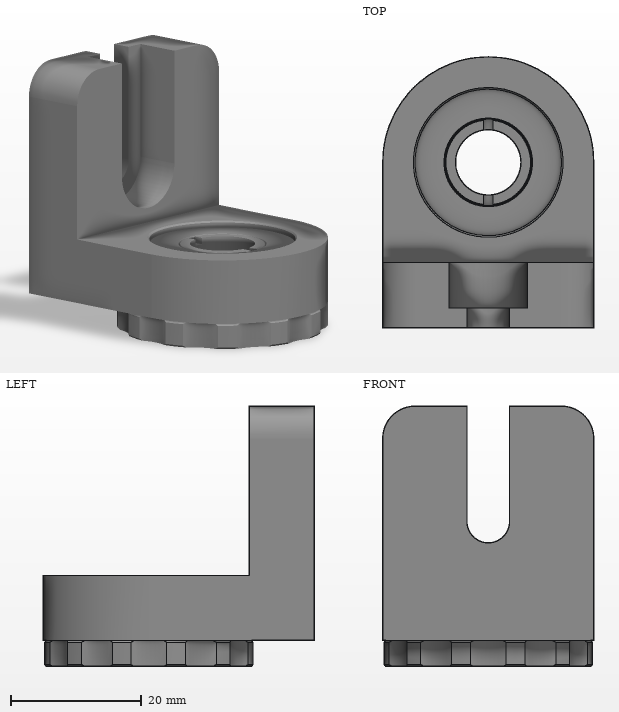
import cadquery as cq

bracket_width = 32.45
base_thickness = 10.0
wall_thickness = 10.0
wall_outer_face = -25.4
wall_height = 36.0
wall_corner_radius = 5.0

slot_width = 6.5
slot_bottom = 15.0
recess_width = 12.0
recess_depth = 7.0

bore_radius = 11.25
bush_recess = 1.0
hub_radius = 6.65
hole_radius = 5.0
bore_chamfer = 0.25
ring_chamfer = 0.15

nut_thickness = 3.0
nut_slot_width = 1.5
nut_slot_depth = 1.0

knob_thickness = 4.0
knob_chamfer = 0.3
scallop_count = 12
scallop_radius = 6.0
scallop_center_radius = 21.33

half_width = bracket_width / 2
wall_inner_face = wall_outer_face + wall_thickness
slot_center_height = slot_bottom + slot_width / 2
bush_top = base_thickness - bush_recess
hub_top = bush_top - nut_thickness


def wall_slot(width, start_y, depth):
    """Round-bottomed slot, open at the top of the wall, running from start_y toward +Y."""
    half_slot = width / 2
    return (
        cq.Workplane("XZ", origin=(0, start_y, 0))
        .moveTo(-half_slot, wall_height)
        .lineTo(-half_slot, slot_center_height)
        .threePointArc((0, slot_center_height - half_slot), (half_slot, slot_center_height))
        .lineTo(half_slot, wall_height)
        .close()
        .extrude(-depth)
    )


def make_bracket():
    """L-shaped bracket: a round-ended base with a bore, and a wall with a stepped slot."""
    base = (
        cq.Workplane("XY")
        .moveTo(-half_width, wall_outer_face)
        .lineTo(half_width, wall_outer_face)
        .lineTo(half_width, 0)
        .threePointArc((0, half_width), (-half_width, 0))
        .close()
        .extrude(base_thickness)
    )
    wall = (
        cq.Workplane("XY", origin=(0, wall_outer_face, 0))
        .box(bracket_width, wall_thickness, wall_height, centered=(True, False, False))
        .edges("|Y and >Z")
        .fillet(wall_corner_radius)
    )
    bore = cq.Workplane("XY").circle(bore_radius).extrude(base_thickness)
    base = base.cut(bore).faces(">Z").edges("%CIRCLE").edges("<Y").chamfer(bore_chamfer)
    through_slot = wall_slot(slot_width, wall_outer_face, wall_thickness)
    nut_recess = wall_slot(recess_width, wall_inner_face - recess_depth, recess_depth)
    return base.union(wall).cut(through_slot).cut(nut_recess)


def make_bush():
    """Ring filling the bracket bore around the hub, set below the top of the base."""
    return (
        cq.Workplane("XY")
        .circle(bore_radius)
        .circle(hub_radius)
        .extrude(bush_top)
        .faces(">Z")
        .edges(cq.selectors.RadiusNthSelector(0))
        .chamfer(ring_chamfer)
    )


def make_ring_nut():
    """Ring on top of the hub with two opposite driver slots in its upper face."""
    ring = (
        cq.Workplane("XY", origin=(0, 0, hub_top))
        .circle(hub_radius)
        .circle(hole_radius)
        .extrude(nut_thickness)
        .faces(">Z")
        .edges(cq.selectors.RadiusNthSelector(-1))
        .chamfer(ring_chamfer)
    )
    driver_slot = cq.Workplane("XY", origin=(0, 0, bush_top - nut_slot_depth)).box(
        nut_slot_width, 2 * hub_radius, nut_slot_depth, centered=(True, True, False)
    )
    return ring.cut(driver_slot)


def make_knob():
    """Scalloped grip disc under the base, with a hub rising through the bush."""
    grip = (
        cq.Workplane("XY", origin=(0, 0, -knob_thickness))
        .circle(half_width)
        .extrude(knob_thickness)
        .edges()
        .chamfer(knob_chamfer)
    )
    scallops = (
        cq.Workplane("XY", origin=(0, 0, -knob_thickness))
        .polarArray(scallop_center_radius, 0, 360, scallop_count)
        .circle(scallop_radius)
        .extrude(knob_thickness)
    )
    hub = cq.Workplane("XY").circle(hub_radius).extrude(hub_top)
    hole = (
        cq.Workplane("XY", origin=(0, 0, -knob_thickness))
        .circle(hole_radius)
        .extrude(knob_thickness + hub_top)
    )
    return grip.cut(scallops).union(hub).cut(hole)


bracket = make_bracket()
bush = make_bush()
ring_nut = make_ring_nut()
knob = make_knob()

result = cq.Compound.makeCompound([bracket.val(), bush.val(), ring_nut.val(), knob.val()])